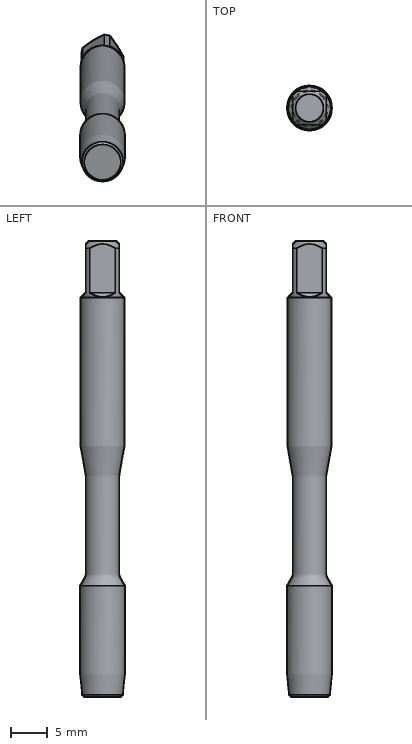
import cadquery as cq
import math

TOTAL_LENGTH = 62.1

THREAD_RADIUS = 6.15 / 2
THREAD_LENGTH = 15.15
LEAD_TIP_RADIUS = 2.8
LEAD_HEIGHT = 3.1
TIP_CHAMFER = 0.3

NECK_RADIUS = 4.6 / 2
LOWER_CONE_ANGLE = 30.0
UPPER_CONE_ANGLE = 10.0
NECK_BLEND_RADIUS = 1.25

SHANK_RADIUS = 6.0 / 2
SHANK_BOTTOM = 34.15
SHANK_TOP = 54.35

SQUARE_WIDTH = 4.6
SQUARE_CORNER_RADIUS = 5.8 / 2
SQUARE_FLAT_BOTTOM = 55.1
TOP_CHAMFER = 1.0


def cone_height(radius_change, angle):
    """Axial height of a cone whose side leans away from the axis by angle, in degrees."""
    return radius_change / math.tan(math.radians(angle))


def make_thread():
    """Plain cylinder for the thread, with a chamfered tip and a tapered lead."""
    return (
        cq.Workplane("XZ")
        .moveTo(0, 0)
        .lineTo(LEAD_TIP_RADIUS - TIP_CHAMFER, 0)
        .lineTo(LEAD_TIP_RADIUS, TIP_CHAMFER)
        .lineTo(THREAD_RADIUS, LEAD_HEIGHT)
        .lineTo(THREAD_RADIUS, THREAD_LENGTH)
        .lineTo(0, THREAD_LENGTH)
        .close()
        .revolve(360, (0, 0), (0, 1))
    )


def make_turned_shank():
    """Round neck, shank and square blank, before the flats are cut."""
    blend_angle = math.radians(LOWER_CONE_ANGLE)
    cone_top_radius = NECK_RADIUS + NECK_BLEND_RADIUS * (1 - math.cos(blend_angle))
    cone_top = THREAD_LENGTH + cone_height(THREAD_RADIUS - cone_top_radius, LOWER_CONE_ANGLE)
    neck_bottom = cone_top + NECK_BLEND_RADIUS * math.sin(blend_angle)
    neck_top = SHANK_BOTTOM - cone_height(SHANK_RADIUS - NECK_RADIUS, UPPER_CONE_ANGLE)
    shoulder_height = SHANK_RADIUS - SQUARE_CORNER_RADIUS
    body = (
        cq.Workplane("XZ")
        .moveTo(0, THREAD_LENGTH)
        .lineTo(THREAD_RADIUS, THREAD_LENGTH)
        .lineTo(cone_top_radius, cone_top)
        .radiusArc((NECK_RADIUS, neck_bottom), NECK_BLEND_RADIUS)
        .lineTo(NECK_RADIUS, neck_top)
        .lineTo(SHANK_RADIUS, SHANK_BOTTOM)
        .lineTo(SHANK_RADIUS, SHANK_TOP)
        .lineTo(SQUARE_CORNER_RADIUS, SHANK_TOP + shoulder_height)
        .lineTo(SQUARE_CORNER_RADIUS, TOTAL_LENGTH - TOP_CHAMFER)
        .lineTo(SQUARE_CORNER_RADIUS - TOP_CHAMFER, TOTAL_LENGTH)
        .lineTo(0, TOTAL_LENGTH)
        .close()
        .revolve(360, (0, 0), (0, 1))
    )
    neck_top_edge = cq.selectors.NearestToPointSelector((NECK_RADIUS, 0, neck_top))
    return body.edges("%CIRCLE").edges(neck_top_edge).fillet(NECK_BLEND_RADIUS)


def make_flat_cutter():
    """Block that cuts the flat on the +X side, with a 45 degree run-out at its foot."""
    flat_distance = SQUARE_WIDTH / 2
    cutter_reach = 2 * SHANK_RADIUS
    run_out_drop = cutter_reach - flat_distance
    return (
        cq.Workplane("XZ")
        .moveTo(flat_distance, SQUARE_FLAT_BOTTOM)
        .lineTo(cutter_reach, SQUARE_FLAT_BOTTOM - run_out_drop)
        .lineTo(cutter_reach, TOTAL_LENGTH)
        .lineTo(flat_distance, TOTAL_LENGTH)
        .close()
        .extrude(SHANK_RADIUS, both=True)
    )


def make_shank():
    """Turned shank with four flats forming the driving square."""
    shank = make_turned_shank()
    cutter = make_flat_cutter()
    for angle in (0, 90, 180, 270):
        shank = shank.cut(cutter.rotate((0, 0, 0), (0, 0, 1), angle))
    return shank


thread = make_thread()
shank = make_shank()

result = cq.Compound.makeCompound([thread.val(), shank.val()])